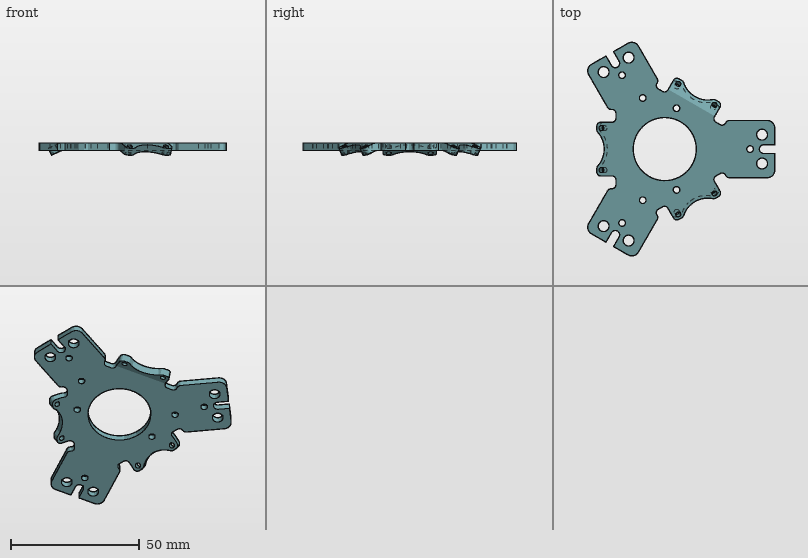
import cadquery as cq
import math

OVERALL_Y = 83.3
THICKNESS = 3.0
ARM_ANGLES = (0, 120, 240)
TAB_ANGLES = (60, 180, 300)
SECTOR_ANGLE = math.radians(60)
BORE_DIAMETER = 24.5
SMALL_HOLE_DIAMETER = 2.5
SMALL_HOLE_POINTS = ((4.6, 15.9), (-8.6, 19.9))

ARM_WIDTH = 22.4
ARM_CORNER_RADIUS = 3.0
ARM_CORNER_OFFSET = ARM_WIDTH / 2 - ARM_CORNER_RADIUS
ARM_REACH = ARM_CORNER_RADIUS + (
    OVERALL_Y / 2 - ARM_CORNER_RADIUS - ARM_CORNER_OFFSET * math.cos(SECTOR_ANGLE)
) / math.sin(SECTOR_ANGLE)
ARM_HOLE_DIAMETER = 4.2
ARM_HOLE_DISTANCE = 37.9
ARM_HOLE_SPACING = 11.25
ARM_SMALL_HOLE_DISTANCE = 33.25
SLOT_WIDTH = 3.3
SLOT_DEPTH = 6.0

TAB_WIDTH = 21.0
BEND_DISTANCE = 20.7
RELIEF_DISTANCE = 19.1
RELIEF_WIDTH = 4.9
RELIEF_RADIUS = 1.5
SHOULDER_RADIUS = 1.7
TAB_SIDE = TAB_WIDTH / 2
EDGE_TOLERANCE = 0.01
RELIEF_SIDE = TAB_SIDE + RELIEF_WIDTH
SHOULDER_DISTANCE = (ARM_WIDTH / 2 + RELIEF_SIDE * math.cos(SECTOR_ANGLE)) / math.sin(SECTOR_ANGLE)

BEND_ANGLE = 25.0
BEND_INNER_RADIUS = 3.0
BEND_OUTER_RADIUS = BEND_INNER_RADIUS + THICKNESS
TAB_FLAT_LENGTH = 3.7
TAB_CORNER_RADIUS = 1.7
TAB_HOLE_DIAMETER = 2.0
TAB_HOLE_SPACING = 16.3
TAB_HOLE_EDGE_DISTANCE = 2.0
TAB_NOTCH_RADIUS = 9.2
TAB_NOTCH_WEB = 0.5


def rotated(shape, angle):
    return shape.rotate((0, 0, 0), (0, 0, 1), angle)


def plate_solid(workplane_outline):
    """Extrude a closed outline through the plate thickness, downward from Z = 0."""
    return workplane_outline.extrude(-THICKNESS)


def make_arm():
    outline = cq.Workplane("XY").center(ARM_REACH / 2, 0).rect(ARM_REACH, ARM_WIDTH)
    return plate_solid(outline).edges("|Z and >X").fillet(ARM_CORNER_RADIUS)


def make_tab_root():
    """Flat core sector from the center out to the bend line, spanning both relief notches."""
    outline = cq.Workplane("XY").center(BEND_DISTANCE / 2, 0).rect(BEND_DISTANCE, 2 * RELIEF_SIDE)
    return plate_solid(outline)


def make_relief_cutter():
    """Pair of notches on both sides of a tab, opening outward."""
    length = SHOULDER_DISTANCE - RELIEF_DISTANCE + RELIEF_WIDTH
    center_x = RELIEF_DISTANCE + length / 2
    center_y = (TAB_SIDE + RELIEF_SIDE) / 2
    points = [(center_x, side * center_y) for side in (1, -1)]
    return plate_solid(cq.Workplane("XY").pushPoints(points).rect(length, RELIEF_WIDTH))


def fillet_notches(plate):
    """Round the inner relief corners and the shoulders where the reliefs meet the arms."""
    corners = (
        (RELIEF_DISTANCE, TAB_SIDE, RELIEF_RADIUS),
        (RELIEF_DISTANCE, RELIEF_SIDE, RELIEF_RADIUS),
        (SHOULDER_DISTANCE, RELIEF_SIDE, SHOULDER_RADIUS),
    )
    for x, y, radius in corners:
        distance = math.hypot(x, y)
        edges = plate.edges("|Z").filter(
            lambda edge: abs(math.hypot(edge.Center().x, edge.Center().y) - distance) < EDGE_TOLERANCE
        )
        plate = edges.fillet(radius)
    return plate


def cut_plate_holes(plate):
    small_points = [(x, side * y) for x, y in SMALL_HOLE_POINTS for side in (1, -1)]
    plate = plate.cut(plate_solid(cq.Workplane("XY").circle(BORE_DIAMETER / 2)))
    small_holes = cq.Workplane("XY").pushPoints(small_points).circle(SMALL_HOLE_DIAMETER / 2)
    return plate.cut(plate_solid(small_holes))


def make_arm_cutter():
    """Open-ended slot, two large holes and one small hole of an arm."""
    slot_radius = SLOT_WIDTH / 2
    slot_center = ARM_REACH - SLOT_DEPTH + slot_radius
    slot_end = ARM_REACH + SLOT_WIDTH
    slot = plate_solid(
        cq.Workplane("XY")
        .moveTo(slot_end, slot_radius)
        .lineTo(slot_center, slot_radius)
        .threePointArc((slot_center - slot_radius, 0), (slot_center, -slot_radius))
        .lineTo(slot_end, -slot_radius)
        .close()
    )
    large_points = [(ARM_HOLE_DISTANCE, side * ARM_HOLE_SPACING / 2) for side in (1, -1)]
    large_holes = cq.Workplane("XY").pushPoints(large_points).circle(ARM_HOLE_DIAMETER / 2)
    small_hole = cq.Workplane("XY").center(ARM_SMALL_HOLE_DISTANCE, 0).circle(SMALL_HOLE_DIAMETER / 2)
    return slot.union(plate_solid(large_holes)).union(plate_solid(small_hole))


def make_bend():
    """Curved section of a tab, revolved about an axis below the bend line."""
    section = cq.Workplane("YZ").center(0, -THICKNESS / 2).rect(TAB_WIDTH, THICKNESS)
    axis_height = THICKNESS / 2 - BEND_OUTER_RADIUS
    bend = section.revolve(BEND_ANGLE, (0, axis_height), (1, axis_height))
    return bend.translate((BEND_DISTANCE, 0, 0))


def make_tab_flat():
    """Straight end of a tab, shaped flat and then tilted about the bend axis."""
    outline = cq.Workplane("XY").center(TAB_FLAT_LENGTH / 2, 0).rect(TAB_FLAT_LENGTH, TAB_WIDTH)
    notch_center = TAB_NOTCH_WEB + TAB_NOTCH_RADIUS
    notch = cq.Workplane("XY").center(notch_center, 0).circle(TAB_NOTCH_RADIUS)
    flat = plate_solid(outline).cut(plate_solid(notch))
    flat = flat.edges("|Z and >X").fillet(TAB_CORNER_RADIUS)
    hole_x = TAB_FLAT_LENGTH - TAB_HOLE_EDGE_DISTANCE
    hole_points = [(hole_x, side * TAB_HOLE_SPACING / 2) for side in (1, -1)]
    holes = cq.Workplane("XY").pushPoints(hole_points).circle(TAB_HOLE_DIAMETER / 2)
    flat = flat.cut(plate_solid(holes)).translate((BEND_DISTANCE, 0, 0))
    axis_start = (BEND_DISTANCE, 0, -BEND_OUTER_RADIUS)
    axis_end = (BEND_DISTANCE, 1, -BEND_OUTER_RADIUS)
    return flat.rotate(axis_start, axis_end, BEND_ANGLE)


arm = make_arm()
tab_root = make_tab_root()
tab = make_bend().union(make_tab_flat())
relief_cutter = make_relief_cutter()
arm_cutter = make_arm_cutter()

plate = rotated(arm, ARM_ANGLES[0])
for angle in ARM_ANGLES[1:]:
    plate = plate.union(rotated(arm, angle))
for angle in TAB_ANGLES:
    plate = plate.union(rotated(tab_root, angle))
for angle in TAB_ANGLES:
    plate = plate.cut(rotated(relief_cutter, angle))
for angle in TAB_ANGLES:
    plate = plate.union(rotated(tab, angle))
plate = fillet_notches(plate.clean())

plate = cut_plate_holes(plate)
for angle in ARM_ANGLES:
    plate = plate.cut(rotated(arm_cutter, angle))

result = plate